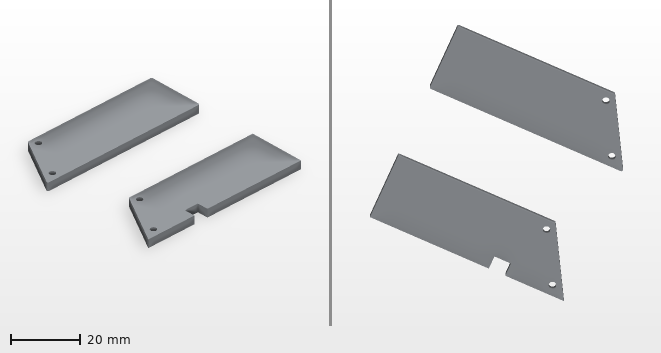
import cadquery as cq
import math

overall_width = 62.0
overall_length = 61.2
thickness = 3.0

plate_width = 20.0
end_angle = 30.0
end_slope = math.tan(math.radians(end_angle))
end_drop = plate_width * end_slope
corner_radius = 0.5

hole_diameter = 2.2
hole_side_offset = 2.7
hole_spacing_x = 14.4
hole_end_distance = 2.8

notch_depth = 3.95
notch_length = 5.2
notch_back_offset = 37.5

rounded_plate_x = 0.0
notched_plate_x = overall_width - plate_width


def end_y(x):
    """Y of the slanted end at distance x from the plate's left side."""
    return end_drop - x * end_slope


def blank_and_holes():
    """Sharp-cornered plate, tip at Y = 0 and left side at X = 0, and its hole cutters."""
    outline = [
        (0, end_y(0)),
        (plate_width, end_y(plate_width)),
        (plate_width, overall_length),
        (0, overall_length),
    ]
    blank = cq.Workplane("XY").polyline(outline).close().extrude(thickness)

    hole_rise = hole_end_distance / math.cos(math.radians(end_angle))
    hole_xs = [hole_side_offset, hole_side_offset + hole_spacing_x]
    hole_centers = [(x, end_y(x) + hole_rise) for x in hole_xs]
    holes = (
        cq.Workplane("XY")
        .pushPoints(hole_centers)
        .circle(hole_diameter / 2)
        .extrude(thickness)
    )
    return blank, holes


def make_rounded_plate():
    """Plate with its four upright corners rounded."""
    blank, holes = blank_and_holes()
    plate = blank.edges("|Z").fillet(corner_radius).cut(holes)
    return plate.translate((rounded_plate_x, 0, 0))


def make_notched_plate():
    """Sharp-cornered plate with a rectangular notch in its right side."""
    blank, holes = blank_and_holes()
    notch = (
        cq.Workplane("XY")
        .box(notch_depth, notch_length, thickness, centered=False)
        .translate((
            plate_width - notch_depth,
            overall_length - notch_back_offset - notch_length,
            0,
        ))
    )
    plate = blank.cut(holes).cut(notch)
    return plate.translate((notched_plate_x, 0, 0))


rounded_plate = make_rounded_plate()
notched_plate = make_notched_plate()

result = cq.Compound.makeCompound([rounded_plate.val(), notched_plate.val()])